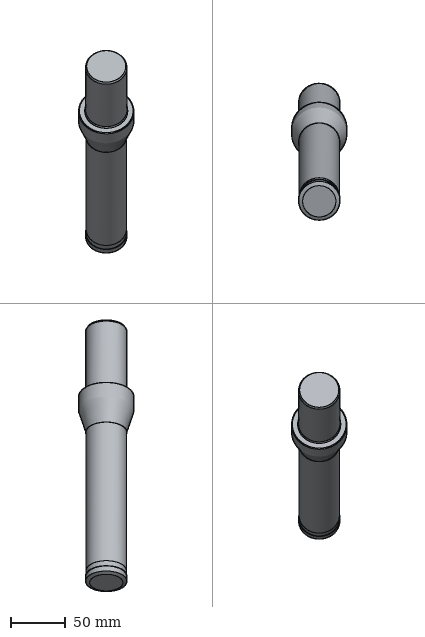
import cadquery as cq

total_length = 267.2
collar_radius = 25.5
upper_radius = 19.0
lower_radius = 18.7

cap_height = 7.0
spigot_top = 12.5
cone_bottom = 158.7
cone_top = 181.5
collar_top = 197.5

foot_radius = 19.0
foot_height = 1.3
collar_chamfer = 0.8
neck_flare = 0.8
neck_height = 1.5
top_chamfer_width = 1.0
top_chamfer_height = 2.0
cap_radius = 19.0
cap_face_radius = 15.2
cap_bevel_height = 1.3
spigot_radius = 18.5


def revolve_profile(points):
    """Turn a closed (radius, height) outline about the Z axis."""
    return cq.Workplane("XZ").polyline(points).close().revolve(360, (0, 0), (0, 1))


def make_post():
    """Stepped post: lower shaft, cone, collar and upper shaft, with a socket below."""
    return revolve_profile([
        (0, spigot_top),
        (spigot_radius, spigot_top),
        (spigot_radius, cap_height),
        (lower_radius, cap_height),
        (lower_radius, cone_bottom),
        (foot_radius, cone_bottom),
        (foot_radius, cone_bottom + foot_height),
        (collar_radius, cone_top),
        (collar_radius, collar_top - collar_chamfer),
        (collar_radius - collar_chamfer, collar_top),
        (upper_radius + neck_flare, collar_top),
        (upper_radius, collar_top + neck_height),
        (upper_radius, total_length - top_chamfer_height),
        (upper_radius - top_chamfer_width, total_length),
        (0, total_length),
    ])


def make_end_cap():
    """Bevelled disc whose spigot fills the socket in the lower end of the post."""
    return revolve_profile([
        (0, 0),
        (cap_face_radius, 0),
        (cap_radius, cap_bevel_height),
        (cap_radius, cap_height),
        (spigot_radius, cap_height),
        (spigot_radius, spigot_top),
        (0, spigot_top),
    ])


post = make_post()
end_cap = make_end_cap()

result = cq.Compound.makeCompound([post.val(), end_cap.val()])